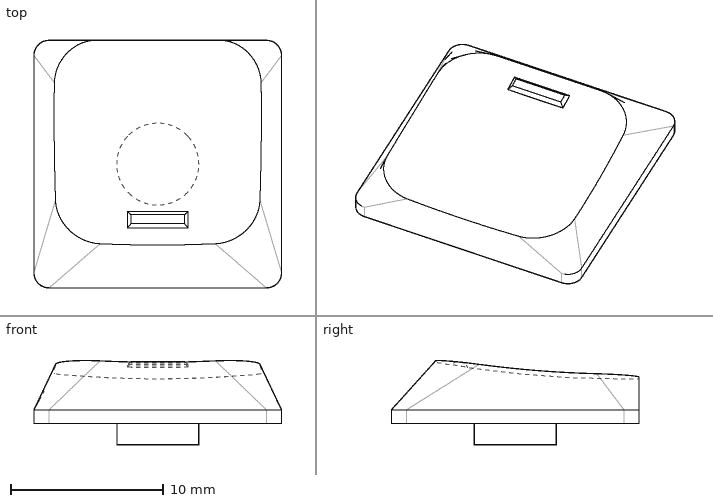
import cadquery as cq
import math

cap_width = 16.3
stem_diameter = 5.4
stem_length = 1.4
skirt_height = 0.9
skirt_corner_radius = 1.0

top_width = 13.3
top_corner_radius = 3.0
top_center_z = skirt_height + 2.9
top_tilt = 4.0
back_y = cap_width / 2

dish_radius = 70.0
dish_center_y = 7.07
dish_lowest_z = skirt_height + 2.03

bar_length = 4.0
bar_width = 1.08
bar_center_y = -3.66
bar_inset = 0.24
bar_height = 0.24
bar_lift = 0.03


def make_skirt():
    """Straight-walled base of the cap."""
    return (
        cq.Workplane("XY")
        .rect(cap_width, cap_width)
        .extrude(skirt_height)
        .edges("|Z")
        .fillet(skirt_corner_radius)
    )


def rounded_square(width, radius):
    """Square outline with rounded corners."""
    return cq.Sketch().rect(width, width).vertices().fillet(radius)


def make_tapered_body():
    """Leaning walls from the skirt to the tilted top; both outlines share the back wall."""
    top_center_y = back_y - top_width / 2 * math.cos(math.radians(top_tilt))
    top_location = cq.Location(
        cq.Vector(0, top_center_y, top_center_z - skirt_height), cq.Vector(1, 0, 0), -top_tilt
    )
    return (
        cq.Workplane("XY", origin=(0, 0, skirt_height))
        .placeSketch(
            rounded_square(cap_width, skirt_corner_radius),
            rounded_square(top_width, top_corner_radius).moved(top_location),
        )
        .loft()
    )


def make_dish():
    """Sphere tangent to the lowest point of the finger surface."""
    return cq.Workplane("XY").sphere(dish_radius).translate(
        (0, dish_center_y, dish_lowest_z + dish_radius)
    )


def make_homing_bar():
    """Raised bar with sloping sides, tilted to lie on the dish."""
    offset_y = dish_center_y - bar_center_y
    tilt = math.asin(offset_y / dish_radius)
    surface_z = dish_lowest_z + dish_radius * (1 - math.cos(tilt))
    taper = math.degrees(math.atan2(bar_inset, bar_height))
    bar = cq.Workplane("XY").rect(bar_length, bar_width).extrude(bar_height, taper=taper)
    root = cq.Workplane("XY").rect(bar_length, bar_width).extrude(-bar_height)
    return (
        bar.union(root)
        .rotate((0, 0, 0), (1, 0, 0), -math.degrees(tilt))
        .translate((0, bar_center_y, surface_z + bar_lift))
    )


def make_stem():
    """Round mounting post below the cap."""
    return cq.Workplane("XY").circle(stem_diameter / 2).extrude(-stem_length)


result = (
    make_skirt()
    .union(make_tapered_body().cut(make_dish()))
    .union(make_homing_bar())
    .union(make_stem())
)